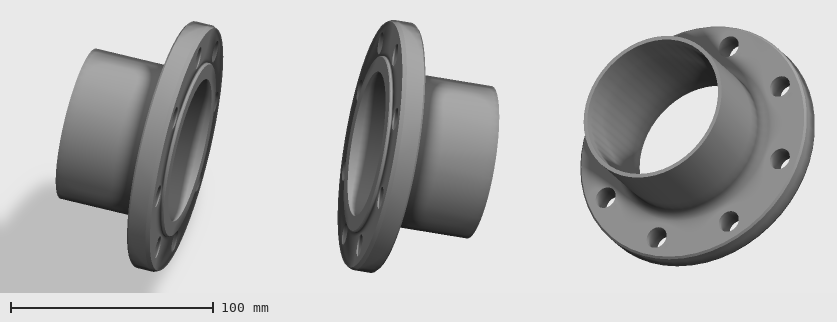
import cadquery as cq

total_length = 57.5
raised_face_height = 1.8
flange_thickness = 11.8
flange_front = total_length - raised_face_height
flange_back = flange_front - flange_thickness

bore_diameter = 72.1
pipe_diameter = 76.1
raised_face_diameter = 88.1
flange_diameter = 125.0

neck_fillet = 4.0
flange_back_chamfer = 1.0
flange_front_chamfer_length = 2.0
flange_front_chamfer_depth = 1.0
raised_face_chamfer = 0.5
raised_face_root_fillet = 0.2

bolt_count = 8
bolt_hole_diameter = 11.0
bolt_circle_diameter = 104.0
bolt_start_angle = 180 / bolt_count


def disc(diameter, start, length):
    """Solid cylinder around the X axis."""
    return cq.Workplane("YZ", origin=(start, 0, 0)).circle(diameter / 2).extrude(length)


def root_edge(diameter, position):
    """Selector for the circular edge of a given diameter lying at one X position."""
    margin = 0.1
    reach = diameter / 2 + margin
    return cq.selectors.BoxSelector(
        (position - margin, -reach, -reach),
        (position + margin, reach, reach),
        boundingbox=True,
    )


pipe = disc(pipe_diameter, 0, flange_back)
flange = (
    disc(flange_diameter, flange_back, flange_thickness)
    .faces("<X").edges().chamfer(flange_back_chamfer)
    .faces(">X").edges().chamfer(flange_front_chamfer_length, flange_front_chamfer_depth)
)
raised_face = (
    disc(raised_face_diameter, flange_front, raised_face_height)
    .faces(">X").edges().chamfer(raised_face_chamfer)
)
body = pipe.union(flange).union(raised_face)

body = body.edges(root_edge(pipe_diameter, flange_back)).fillet(neck_fillet)
body = body.edges(root_edge(raised_face_diameter, flange_front)).fillet(raised_face_root_fillet)

bore = disc(bore_diameter, 0, total_length)
bolt_holes = (
    cq.Workplane("YZ", origin=(flange_back, 0, 0))
    .polarArray(bolt_circle_diameter / 2, bolt_start_angle, 360, bolt_count)
    .circle(bolt_hole_diameter / 2)
    .extrude(flange_thickness)
)

result = body.cut(bore).cut(bolt_holes)